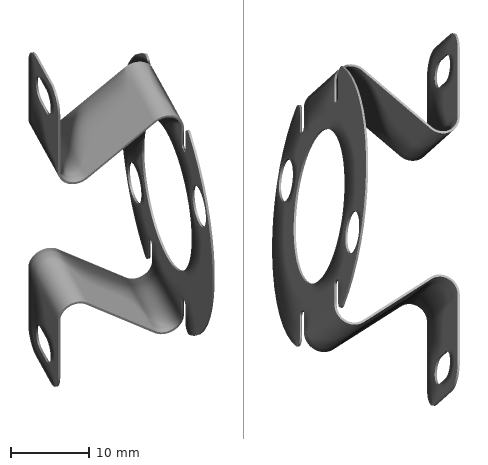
import cadquery as cq
import math

total_height = 48.0
total_depth = 17.0
thickness = 0.3

ring_radius = 18.45
bore_radius = 10.0
round_hole_radius = 2.75
round_hole_x = 13.0
round_hole_z = 7.5

leg_width = 12.0
leg_half_width = leg_width / 2
bend_radius = 2.5
rear_bend_z = 15.0
front_bend_z = 12.0
foot_corner_radius = 3.0
slot_length = 6.0
slot_width = 3.65
slot_z = 19.95

notch_outer_x = 7.5
notch_floor_z = 12.0
notch_corner_radius = 0.5
ear_tip_radius = 1.0


def box_between(x_min, x_max, z_min, z_max):
    """Block through the ring sheet, which lies between y = -thickness and y = 0."""
    return (
        cq.Workplane("XY")
        .box(x_max - x_min, thickness, z_max - z_min, centered=False)
        .translate((x_min, -thickness, z_min))
    )


def fillet_corners(body, corners, radius):
    """Round the through-thickness edges at the given (x, z) corners."""
    reach = 0.05
    for x, z in corners:
        low = (x - reach, -thickness, z - reach)
        high = (x + reach, 0, z + reach)
        body = body.edges("|Y").edges(cq.selectors.BoxSelector(low, high)).fillet(radius)
    return body


def make_ring():
    ring = cq.Workplane("XZ").circle(ring_radius).circle(bore_radius).extrude(thickness)
    holes = (
        cq.Workplane("XZ")
        .pushPoints([(round_hole_x, round_hole_z), (-round_hole_x, -round_hole_z)])
        .circle(round_hole_radius)
        .extrude(thickness)
    )
    ring = ring.cut(holes)

    ear_tip_z = math.sqrt(ring_radius**2 - notch_outer_x**2)
    for end in (1, -1):
        z_low, z_high = sorted((end * rear_bend_z, end * ring_radius))
        ring = ring.cut(box_between(-leg_half_width, leg_half_width, z_low, z_high))
        for side in (1, -1):
            x_low, x_high = sorted((side * leg_half_width, side * notch_outer_x))
            z_low, z_high = sorted((end * notch_floor_z, end * ring_radius))
            ring = ring.cut(box_between(x_low, x_high, z_low, z_high))
            floor_corners = [
                (side * leg_half_width, end * notch_floor_z),
                (side * notch_outer_x, end * notch_floor_z),
            ]
            ring = fillet_corners(ring, floor_corners, notch_corner_radius)
            tip = (side * notch_outer_x, end * ear_tip_z)
            ring = fillet_corners(ring, [tip], ear_tip_radius)
    return ring


def make_leg():
    """Upper leg: rear bend, sloping web, front bend and upright foot."""
    inner_radius = bend_radius - thickness
    rear_center = (-bend_radius, rear_bend_z)
    front_center = (bend_radius - total_depth, front_bend_z)

    span_y = front_center[0] - rear_center[0]
    span_z = front_center[1] - rear_center[1]
    center_distance = math.hypot(span_y, span_z)
    tangent_turn = math.acos((bend_radius + inner_radius) / center_distance)
    web_normal = math.atan2(span_z, span_y) % (2 * math.pi) - tangent_turn

    def on_rear(radius, angle):
        return (
            rear_center[0] + radius * math.cos(angle),
            rear_center[1] + radius * math.sin(angle),
        )

    def on_front(radius, angle):
        return (
            front_center[0] - radius * math.cos(angle),
            front_center[1] - radius * math.sin(angle),
        )

    middle = web_normal / 2
    foot_top = total_height / 2
    profile = (
        cq.Workplane("YZ")
        .moveTo(*on_rear(bend_radius, 0))
        .threePointArc(on_rear(bend_radius, middle), on_rear(bend_radius, web_normal))
        .lineTo(*on_front(inner_radius, web_normal))
        .threePointArc(on_front(inner_radius, middle), on_front(inner_radius, 0))
        .lineTo(thickness - total_depth, foot_top)
        .lineTo(-total_depth, foot_top)
        .lineTo(*on_front(bend_radius, 0))
        .threePointArc(on_front(bend_radius, middle), on_front(bend_radius, web_normal))
        .lineTo(*on_rear(inner_radius, web_normal))
        .threePointArc(on_rear(inner_radius, middle), on_rear(inner_radius, 0))
        .close()
    )
    leg = profile.extrude(leg_half_width, both=True)
    leg = leg.faces(">Z").edges("|Y").fillet(foot_corner_radius)
    slot = (
        cq.Workplane("XZ", origin=(0, 0, slot_z))
        .slot2D(slot_length, slot_width)
        .extrude(total_depth)
    )
    return leg.cut(slot)


upper_leg = make_leg()
lower_leg = upper_leg.mirror("XY")
result = make_ring().union(upper_leg).union(lower_leg)